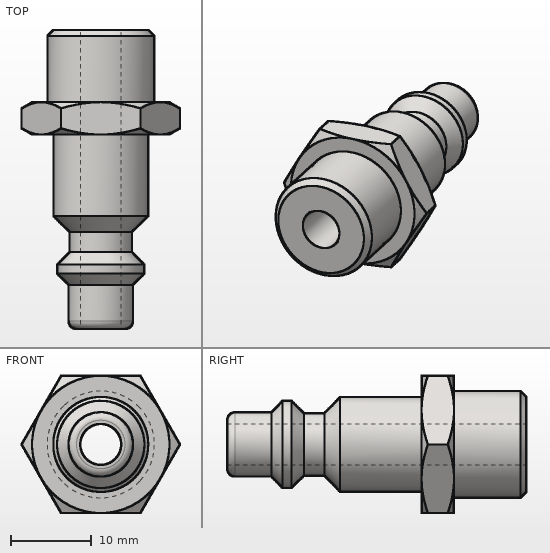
import cadquery as cq
import math

bore_radius = 2.5
nose_radius = 4.0
collar_radius = 5.4
groove_radius = 3.9
body_radius = 5.9
thread_radius = 6.62

nose_end = 5.48
collar_start = 6.85
collar_end = 7.95
groove_start = 9.5
groove_end = 12.02
body_start = 14.0
hex_start = 24.05
hex_width = 4.0
total_length = 37.0

nose_round = 1.0
thread_chamfer = 0.75

across_flats = 17.0
hex_chamfer_angle = 30.0
flat_radius = across_flats / 2
corner_radius = flat_radius / math.cos(math.radians(30))
hex_end = hex_start + hex_width
hex_chamfer_depth = (corner_radius - flat_radius) * math.tan(math.radians(hex_chamfer_angle))


def revolve_about_y(profile):
    """Revolve a closed (radius, station) profile about the Y axis."""
    return profile.close().revolve(360, (0, 0, 0), (0, 1, 0))


def make_stem():
    """Turned plug stem and plain threaded end, without the bore."""
    round_offset = nose_round * math.sqrt(0.5)
    profile = (
        cq.Workplane("XY")
        .lineTo(nose_radius - nose_round, 0)
        .threePointArc(
            (nose_radius - nose_round + round_offset, nose_round - round_offset),
            (nose_radius, nose_round),
        )
        .lineTo(nose_radius, nose_end)
        .lineTo(collar_radius, collar_start)
        .lineTo(collar_radius, collar_end)
        .lineTo(groove_radius, groove_start)
        .lineTo(groove_radius, groove_end)
        .lineTo(body_radius, body_start)
        .lineTo(body_radius, hex_start)
        .lineTo(thread_radius, hex_start)
        .lineTo(thread_radius, total_length - thread_chamfer)
        .lineTo(thread_radius - thread_chamfer, total_length)
        .lineTo(0, total_length)
    )
    return revolve_about_y(profile)


def make_hex():
    """Hexagonal flange with its corners turned off conically on both faces."""
    prism = (
        cq.Workplane("XZ", origin=(0, hex_start, 0))
        .polygon(6, 2 * corner_radius)
        .extrude(-hex_width)
    )
    envelope = revolve_about_y(
        cq.Workplane("XY")
        .moveTo(0, hex_start)
        .lineTo(flat_radius, hex_start)
        .lineTo(corner_radius, hex_start + hex_chamfer_depth)
        .lineTo(corner_radius, hex_end - hex_chamfer_depth)
        .lineTo(flat_radius, hex_end)
        .lineTo(0, hex_end)
    )
    return prism.intersect(envelope)


bore = cq.Workplane("XZ").circle(bore_radius).extrude(-total_length)

result = make_stem().union(make_hex()).cut(bore)